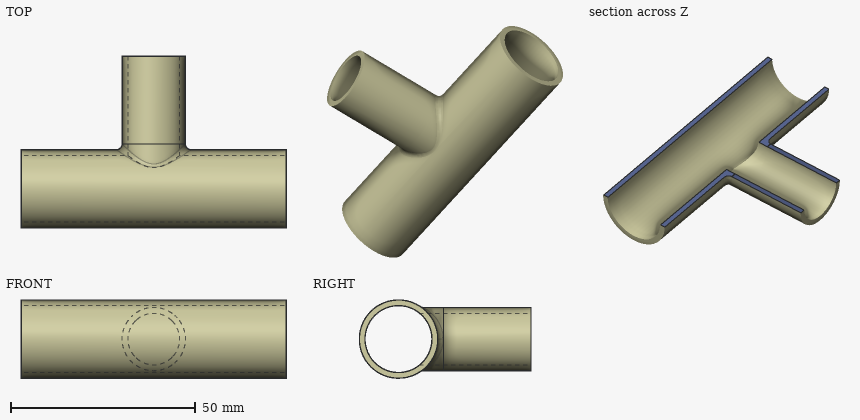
import cadquery as cq

RUN_LENGTH = 72.0
RUN_OUTER_DIA = 21.3
RUN_BORE_DIA = 18.1

BRANCH_OUTER_DIA = 17.2
BRANCH_BORE_DIA = 14.0
BRANCH_END_Y = 36.0

FILLET_RADIUS = 1.5

JOINT_Y = RUN_OUTER_DIA / 2 + FILLET_RADIUS


def cylinder_along_x(diameter, length):
    """Cylinder centred on the origin, with its axis along X."""
    return cq.Workplane("YZ").circle(diameter / 2).extrude(length / 2, both=True)


def cylinder_along_y(diameter, start_y, end_y):
    """Cylinder on the Y axis between two Y positions."""
    base = cq.Workplane("XZ", origin=(0, start_y, 0))
    return base.circle(diameter / 2).extrude(start_y - end_y)


def make_tee():
    """Main pipe with a short filleted stub that ends at the joint."""
    run = cylinder_along_x(RUN_OUTER_DIA, RUN_LENGTH)
    tee = run.union(cylinder_along_y(BRANCH_OUTER_DIA, 0, BRANCH_END_Y))

    junction = cq.selectors.BoxSelector(
        (-BRANCH_OUTER_DIA, 0, -RUN_OUTER_DIA),
        (BRANCH_OUTER_DIA, RUN_OUTER_DIA / 2, RUN_OUTER_DIA),
    )
    tee = tee.edges(junction).fillet(FILLET_RADIUS)

    trim = cylinder_along_y(RUN_OUTER_DIA, JOINT_Y, BRANCH_END_Y)
    tee = tee.cut(trim)

    run_bore = cylinder_along_x(RUN_BORE_DIA, RUN_LENGTH)
    stub_bore = cylinder_along_y(BRANCH_BORE_DIA, 0, JOINT_Y)
    return tee.cut(run_bore).cut(stub_bore)


def make_branch_pipe():
    """Plain pipe that continues the stub to the open branch end."""
    outer = cylinder_along_y(BRANCH_OUTER_DIA, JOINT_Y, BRANCH_END_Y)
    bore = cylinder_along_y(BRANCH_BORE_DIA, JOINT_Y, BRANCH_END_Y)
    return outer.cut(bore)


tee = make_tee()
branch_pipe = make_branch_pipe()

result = cq.Compound.makeCompound([tee.solids().val(), branch_pipe.solids().val()])